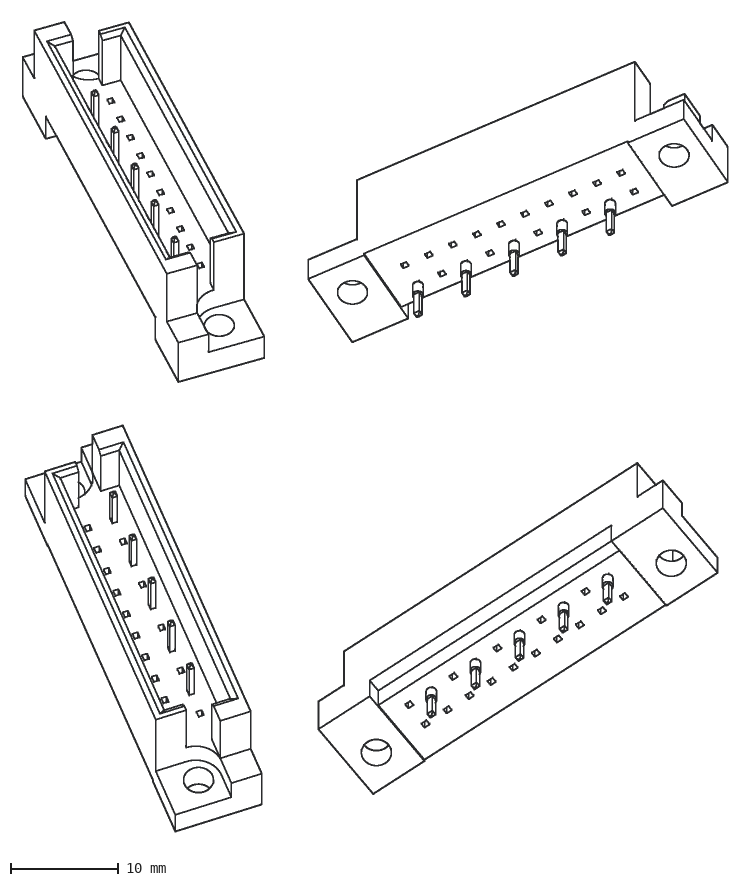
import cadquery as cq
import math


LENGTH = 39.8
DEPTH = 8.6
FLOOR_Z = 5.25
TOP_Z = 11.62

WALL_BLOCK_DEPTH = 3.02
FRONT_HALF_LENGTH = 16.95
BACK_HALF_LENGTH = 14.73
FRONT_CAVITY_HALF = BACK_HALF_LENGTH
BACK_CAVITY_HALF = 13.77
WALL_THICKNESS = 1.2
CHAMFER_LONG = 0.6
CHAMFER_END = 0.48
CHAMFER_DEPTH = 0.4

EAR_Z = 2.85
MOUNT_X = 17.05
MOUNT_Y = 5.2
MOUNT_DIAMETER = 2.8
RELIEF_RADIUS = DEPTH - 2 * WALL_BLOCK_DEPTH

RECESS_HALF_LENGTH = 13.95
RECESS_DEPTH = 1.35
RECESS_Z = 3.0
STANDOFF = 0.25

PITCH = 2.55
COLUMNS = 10
ROWS = 2
GRID_CENTER_X = -0.15
FIRST_COLUMN_X = GRID_CENTER_X - PITCH * (COLUMNS - 1) / 2
FRONT_ROW_Y = WALL_BLOCK_DEPTH

PIN_WIDTH = 0.6
PIN_THICKNESS = 0.5
PIN_TIP_WIDTH = 0.25
PIN_TIP_THICKNESS = 0.15
PIN_TIP_LENGTH = 0.35
PIN_BOTTOM_Z = -4.58
PIN_TOP_Z = 9.95
COLLAR_DIAMETER = 1.0
COLLAR_LENGTH = 1.45


def box(x_min, x_max, y_min, y_max, z_min, z_max):
    """Box between two opposite corners."""
    size = (x_max - x_min, y_max - y_min, z_max - z_min)
    return cq.Workplane("XY").box(*size, centered=False).translate((x_min, y_min, z_min))


def centered_box(half_length, y_min, y_max, z_min, z_max):
    """Box that is symmetric about X = 0."""
    return box(-half_length, half_length, y_min, y_max, z_min, z_max)


def mirrored(shape):
    """Turn a front-side shape into its back-side counterpart."""
    return shape.mirror("XZ").translate((0, DEPTH, 0))


def make_shroud_wall(half_length, cavity_half):
    """U-shaped front wall with short returns and a lead-in chamfer around its inner top edge."""
    wall = centered_box(half_length, 0, WALL_BLOCK_DEPTH, FLOOR_Z, TOP_Z)
    cavity = centered_box(cavity_half, WALL_THICKNESS, WALL_BLOCK_DEPTH, FLOOR_Z, TOP_Z)

    inner_depth = WALL_BLOCK_DEPTH - WALL_THICKNESS
    outer_depth = inner_depth + CHAMFER_LONG
    lead_in = (
        cq.Workplane("XY")
        .workplane(offset=TOP_Z - CHAMFER_DEPTH)
        .center(0, WALL_BLOCK_DEPTH - inner_depth / 2)
        .rect(2 * cavity_half, inner_depth)
        .workplane(offset=CHAMFER_DEPTH)
        .center(0, (inner_depth - outer_depth) / 2)
        .rect(2 * (cavity_half + CHAMFER_END), outer_depth)
        .loft(ruled=True)
    )
    return wall.cut(cavity).cut(lead_in)


def make_ear_pocket(side):
    """Space above one ear, with a quarter round at its inner corner; side is -1 for left, +1 for right."""
    arc_mid_x = BACK_HALF_LENGTH + RELIEF_RADIUS * (1 - math.cos(math.pi / 4))
    arc_mid_y = WALL_BLOCK_DEPTH + RELIEF_RADIUS * (1 - math.sin(math.pi / 4))
    arc_end_y = WALL_BLOCK_DEPTH + RELIEF_RADIUS
    return (
        cq.Workplane("XY", origin=(0, 0, EAR_Z))
        .moveTo(side * LENGTH, WALL_BLOCK_DEPTH)
        .lineTo(side * (BACK_HALF_LENGTH + RELIEF_RADIUS), WALL_BLOCK_DEPTH)
        .threePointArc((side * arc_mid_x, arc_mid_y), (side * BACK_HALF_LENGTH, arc_end_y))
        .lineTo(side * BACK_HALF_LENGTH, DEPTH)
        .lineTo(side * LENGTH, DEPTH)
        .close()
        .extrude(FLOOR_Z - EAR_Z)
    )


def make_mounting_holes():
    """Through holes in both ears."""
    return (
        cq.Workplane("XY")
        .pushPoints([(-MOUNT_X, MOUNT_Y), (MOUNT_X, MOUNT_Y)])
        .circle(MOUNT_DIAMETER / 2)
        .extrude(EAR_Z)
    )


def make_contact_holes():
    """Two full rows of rectangular contact holes through the floor."""
    centers = [
        (FIRST_COLUMN_X + column * PITCH, FRONT_ROW_Y + row * PITCH)
        for column in range(COLUMNS)
        for row in range(ROWS)
    ]
    return cq.Workplane("XY").pushPoints(centers).rect(PIN_WIDTH, PIN_THICKNESS).extrude(FLOOR_Z)


def make_housing():
    """Complete plastic housing."""
    front_wall = make_shroud_wall(FRONT_HALF_LENGTH, FRONT_CAVITY_HALF)
    back_wall = mirrored(make_shroud_wall(BACK_HALF_LENGTH, BACK_CAVITY_HALF))
    housing = centered_box(LENGTH / 2, 0, DEPTH, 0, FLOOR_Z)
    for side in (-1, 1):
        housing = housing.cut(make_ear_pocket(side))
    housing = housing.union(front_wall).union(back_wall)
    housing = housing.cut(make_mounting_holes())
    housing = housing.cut(centered_box(RECESS_HALF_LENGTH, 0, DEPTH, 0, STANDOFF))
    housing = housing.cut(centered_box(RECESS_HALF_LENGTH, 0, RECESS_DEPTH, 0, RECESS_Z))
    return housing.cut(make_contact_holes())


def make_pin_tip(z_base, length):
    """Tapered pin end that points up for a positive length and down for a negative one."""
    return (
        cq.Workplane("XY", origin=(0, 0, z_base))
        .rect(PIN_WIDTH, PIN_THICKNESS)
        .workplane(offset=length)
        .rect(PIN_TIP_WIDTH, PIN_TIP_THICKNESS)
        .loft(ruled=True)
    )


def make_pin(x, y):
    """Rectangular contact pin with two tapered ends and a round collar below the housing."""
    shank_bottom = PIN_BOTTOM_Z + PIN_TIP_LENGTH
    shank_top = PIN_TOP_Z - PIN_TIP_LENGTH
    shank = (
        cq.Workplane("XY", origin=(0, 0, shank_bottom))
        .rect(PIN_WIDTH, PIN_THICKNESS)
        .extrude(shank_top - shank_bottom)
    )
    collar = cq.Workplane("XY").circle(COLLAR_DIAMETER / 2).extrude(-COLLAR_LENGTH)
    pin = shank.union(collar)
    pin = pin.union(make_pin_tip(shank_top, PIN_TIP_LENGTH))
    pin = pin.union(make_pin_tip(shank_bottom, -PIN_TIP_LENGTH))
    return pin.translate((x, y, 0))


housing = make_housing()

pins = [make_pin(FIRST_COLUMN_X + column * PITCH, FRONT_ROW_Y) for column in range(1, COLUMNS, 2)]

result = cq.Compound.makeCompound([housing.val(), *[pin.val() for pin in pins]])